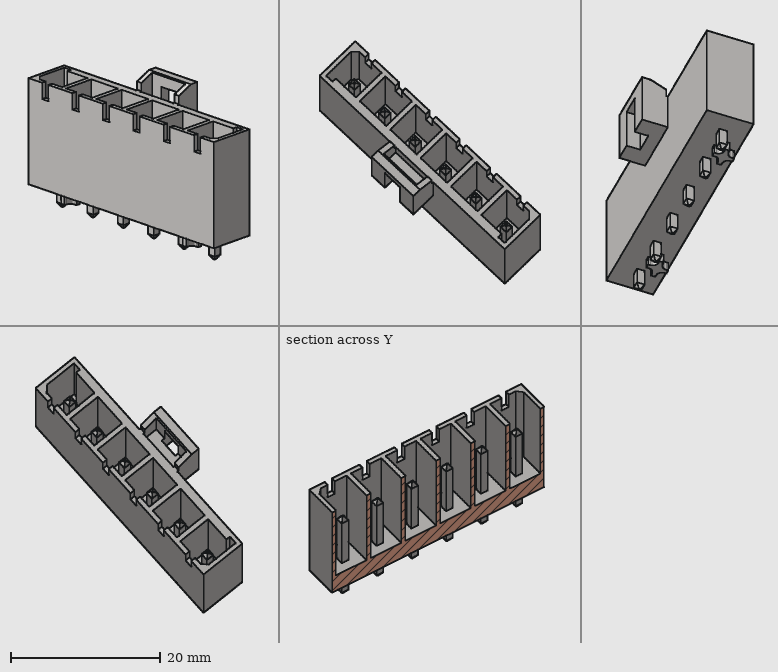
import cadquery as cq

length = 34.85
depth = 6.83
height = 15.23

cell_count = 6
pitch = 5.7
cell_width = 5.0
cell_depth = 4.88
front_wall = 0.7
floor_thickness = 3.0
slot_width = 1.2
slot_depth = 2.35
cell_back = front_wall + cell_depth
cell_xs = [(i - (cell_count - 1) / 2) * pitch for i in range(cell_count)]

key_width = 1.2
key_depth = 0.63
corner_chamfer = 0.75

pin_size = 1.1
pin_y = 3.35
pin_below = 3.28
pin_top = 11.15
pin_tip_size = 0.25
pin_tip_height = 0.65

peg_y = 1.9
peg_half_span = 1.45
peg_arm_half_width = 0.3
peg_fillet = 0.85
peg_length = 1.45
peg_xs = [-2 * pitch, 2 * pitch]

latch_width = 7.88
latch_depth = 3.75
latch_above = 2.23
latch_below = 5.9
latch_rim = 1.25
latch_slope_drop = 1.05
latch_front_gap = 0.2
latch_side_wall = 0.85
latch_back_wall = 1.5
latch_pocket_depth = 2.35
window_width = 2.82
window_above = 0.52
window_depth = 2.0
latch_back = depth + latch_depth


def block(width, y_limits, z_limits, x_center=0.0):
    """Rectangular block between the given Y and Z limits, centred on x_center."""
    y_low, y_high = y_limits
    z_low, z_high = z_limits
    solid = cq.Workplane("XY").box(width, y_high - y_low, z_high - z_low, centered=(True, False, False))
    return solid.translate((x_center, y_low, z_low))


def make_slot(x):
    """Notch at the rim of the front wall, opening into the cell behind it."""
    return block(slot_width, (0, cell_back), (height - slot_depth, height), x)


def make_cell(x):
    """Open-topped square cell with a slot through the front wall."""
    cell = block(cell_width, (front_wall, cell_back), (floor_thickness, height), x)
    return cell.union(make_slot(x))


def make_end_cell(x, side):
    """End cell on the given side (-1 or 1): outer front corner cut off, outer back corner notched."""
    outer_x = x + side * cell_width / 2
    inner_x = x - side * cell_width / 2
    key_x = outer_x - side * key_width
    outline = [
        (inner_x, front_wall),
        (outer_x - side * corner_chamfer, front_wall),
        (outer_x, front_wall + corner_chamfer),
        (outer_x, cell_back + key_depth),
        (key_x, cell_back + key_depth),
        (key_x, cell_back),
        (inner_x, cell_back),
    ]
    cell = cq.Workplane("XY", origin=(0, 0, floor_thickness)).polyline(outline).close()
    cell = cell.extrude(height - floor_thickness)
    return cell.union(make_slot(x))


def make_pin_tip(base_z, direction):
    """Tapered pin end growing up (1) or down (-1) from base_z."""
    base = cq.Workplane("XY", origin=(0, 0, base_z)).rect(pin_size, pin_size)
    tip = base.workplane(offset=direction * pin_tip_height).rect(pin_tip_size, pin_tip_size)
    return tip.loft(ruled=True)


def make_pin():
    """Pin through the housing floor, on the Z axis."""
    shank_bottom = pin_tip_height - pin_below
    shank_top = pin_top - pin_tip_height
    shank = block(pin_size, (-pin_size / 2, pin_size / 2), (shank_bottom, shank_top))
    return shank.union(make_pin_tip(shank_bottom, -1)).union(make_pin_tip(shank_top, 1))


def make_peg():
    """Cross with filleted inner corners, hanging below Z = 0 on the Z axis."""
    span = 2 * peg_half_span
    arm_width = 2 * peg_arm_half_width
    cross = cq.Workplane("XY").rect(span, arm_width).extrude(-peg_length)
    cross = cross.union(cq.Workplane("XY").rect(arm_width, span).extrude(-peg_length))
    near_axis = cq.selectors.BoxSelector((-arm_width, -arm_width, -peg_length), (arm_width, arm_width, 0))
    return cross.edges("|Z").edges(near_axis).fillet(peg_fillet)


def make_latch():
    """Bracket with a sloped rim, an open pocket and a window through its back wall."""
    top = height + latch_above
    front = depth + latch_front_gap
    profile = [
        (depth, height - latch_below),
        (latch_back, height - latch_below),
        (latch_back, top),
        (latch_back - latch_rim, top),
        (front, top - latch_slope_drop),
        (front, height),
        (depth, height),
    ]
    bracket = cq.Workplane("YZ").polyline(profile).close().extrude(latch_width / 2, both=True)
    pocket_width = latch_width - 2 * latch_side_wall
    pocket = block(pocket_width, (depth, latch_back - latch_back_wall), (height - latch_pocket_depth, top))
    window_z = (height - latch_below, height + window_above)
    window = block(window_width, (latch_back - window_depth, latch_back), window_z)
    return bracket.cut(pocket).cut(window)


result = block(length, (0, depth), (0, height))

for x in cell_xs[1:-1]:
    result = result.cut(make_cell(x))
result = result.cut(make_end_cell(cell_xs[0], -1)).cut(make_end_cell(cell_xs[-1], 1))

for x in cell_xs:
    result = result.union(make_pin().translate((x, pin_y, 0)))

for x in peg_xs:
    result = result.union(make_peg().translate((x, peg_y, 0)))

result = result.union(make_latch())